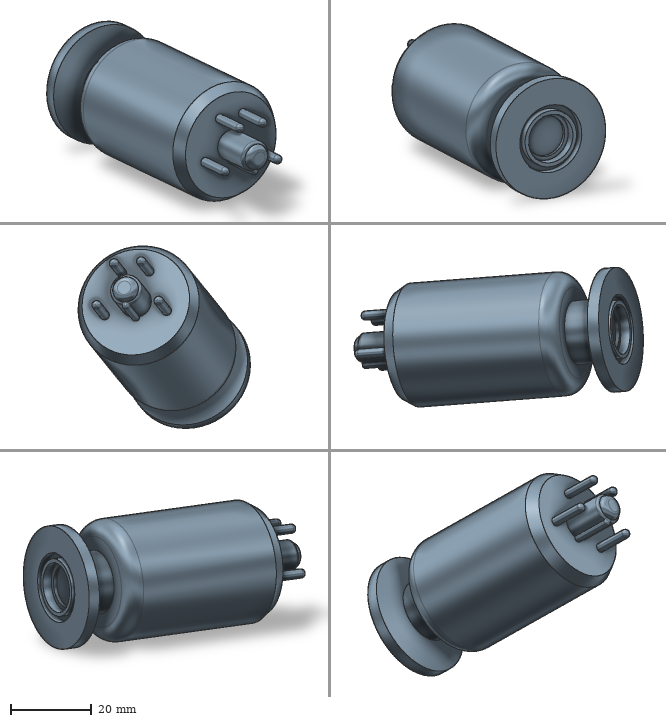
import cadquery as cq
import math

body_diameter = 31.0
neck_diameter = 16.0
flange_rim = 3.0
flange_length = 5.0
body_start = 12.0
body_end = 58.0
shoulder_radius = 4.0
chamfer_length = 3.0
chamfer_angle = 30.0

groove_outer_diameter = 17.5
groove_inner_diameter = 14.5
groove_depth = 2.1
bore_diameter = 12.5
bore_depth = 2.5
inner_bore_diameter = 10.5
inner_bore_depth = 3.45

overall_length = 70.5
post_diameter = 8.0
post_edge_radius = 0.7
button_height = 1.55
key_radius = 1.0

pin_diameter = 2.3
pin_tip_radius = 1.1
pin_end = 67.95
pin_circle_radius = 8.45
pin_angles = (24.3, 109.9)

body_radius = body_diameter / 2
post_end = overall_length - button_height
button_diameter = post_diameter - 2 * post_edge_radius
arc_midpoint = math.sqrt(0.5)


def turn(profile):
    """Revolve a closed XZ profile about the X axis."""
    return profile.close().revolve(360, (0, 0, 0), (1, 0, 0))


def disc(diameter, start, end):
    """Cylinder on the X axis between two stations."""
    return turn(
        cq.Workplane("XZ")
        .moveTo(start, 0)
        .lineTo(start, diameter / 2)
        .lineTo(end, diameter / 2)
        .lineTo(end, 0)
    )


def rounded_rod(diameter, start, end, edge_radius):
    """Cylinder on the X axis whose far edge is rounded."""
    radius = diameter / 2
    arc_inset = edge_radius * (1 - arc_midpoint)
    return turn(
        cq.Workplane("XZ")
        .moveTo(start, 0)
        .lineTo(start, radius)
        .lineTo(end - edge_radius, radius)
        .threePointArc((end - arc_inset, radius - arc_inset), (end, radius - edge_radius))
        .lineTo(end, 0)
    )


def make_housing():
    """Flange, neck and main body in one piece, with the stepped recess in the flange face."""
    neck_radius = neck_diameter / 2
    end_radius = body_radius - chamfer_length * math.tan(math.radians(chamfer_angle))
    arc_inset = shoulder_radius * (1 - arc_midpoint)
    envelope = turn(
        cq.Workplane("XZ")
        .moveTo(0, 0)
        .lineTo(0, body_radius)
        .lineTo(flange_rim, body_radius)
        .lineTo(flange_length, neck_radius)
        .lineTo(body_start, neck_radius)
        .lineTo(body_start, body_radius - shoulder_radius)
        .threePointArc(
            (body_start + arc_inset, body_radius - arc_inset),
            (body_start + shoulder_radius, body_radius),
        )
        .lineTo(body_end - chamfer_length, body_radius)
        .lineTo(body_end, end_radius)
        .lineTo(body_end, 0)
    )
    groove = disc(groove_outer_diameter, 0, groove_depth).cut(disc(groove_inner_diameter, 0, groove_depth))
    bore = disc(bore_diameter, 0, bore_depth)
    inner_bore = disc(inner_bore_diameter, 0, inner_bore_depth)
    return envelope.cut(groove).cut(bore).cut(inner_bore)


def make_post():
    """Guide post with a half-round key along its -Z side and a rounded end button."""
    shaft = disc(post_diameter, body_end, post_end)
    key = disc(2 * key_radius, body_end, post_end).translate((0, 0, -post_diameter / 2))
    keyed_shaft = shaft.union(key).faces(">X").edges().fillet(post_edge_radius)
    button = rounded_rod(button_diameter, body_end, overall_length, button_height)
    return keyed_shaft.union(button)


def make_pin(angle):
    """Round-tipped pin at an angle from +Z around the X axis."""
    y = pin_circle_radius * math.sin(math.radians(angle))
    z = pin_circle_radius * math.cos(math.radians(angle))
    return rounded_rod(pin_diameter, body_end, pin_end, pin_tip_radius).translate((0, y, z))


housing = make_housing()
post = make_post()
pins = [make_pin(side * angle) for angle in pin_angles for side in (-1, 1)]

result = cq.Compound.makeCompound([housing.val(), post.val(), *[pin.val() for pin in pins]])